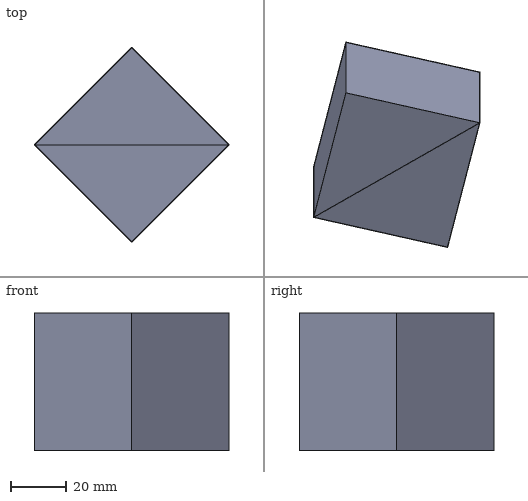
import cadquery as cq
import math

cube_side = 50.0
half_diagonal = cube_side / math.sqrt(2)
half_count = 2
half_spacing_angle = 360.0 / half_count


def half_cube(turn_angle):
    """Right-angled prism with its long face through the Z axis, turned about Z."""
    prism = (
        cq.Workplane("XY")
        .moveTo(-half_diagonal, 0)
        .lineTo(0, -half_diagonal)
        .lineTo(half_diagonal, 0)
        .close()
        .extrude(cube_side)
    )
    return prism.rotate((0, 0, 0), (0, 0, 1), turn_angle)


half_cubes = [half_cube(index * half_spacing_angle) for index in range(half_count)]

result = cq.Compound.makeCompound([half.val() for half in half_cubes])